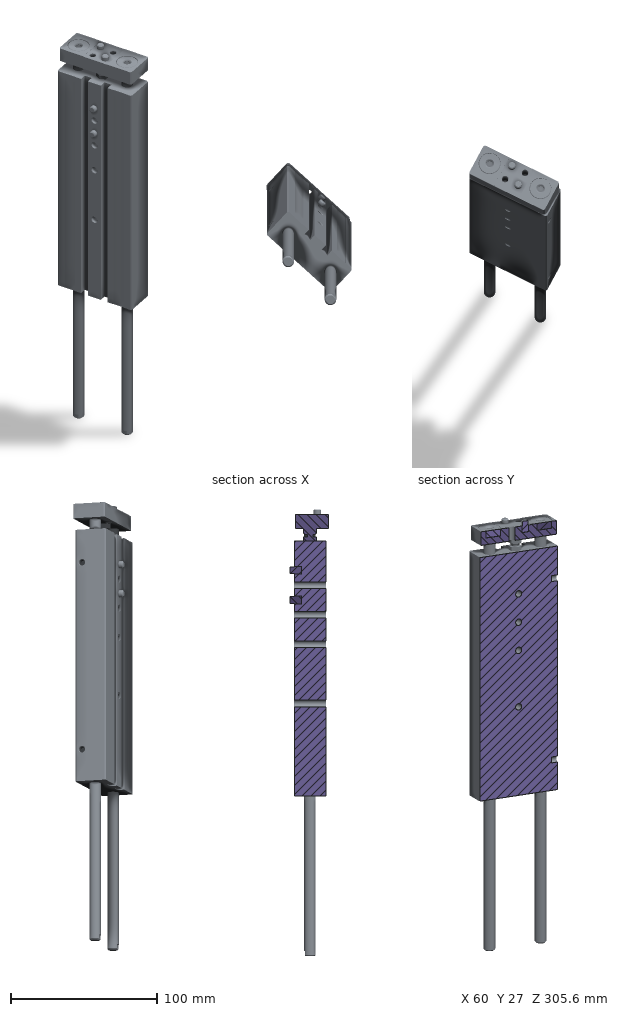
import cadquery as cq
import math

HOUSING_WIDTH = 60.0
HOUSING_DEPTH = 22.0
HOUSING_HEIGHT = 174.8
CORNER_CHAMFER = 1.0
FRONT_Y = -HOUSING_DEPTH / 2

SENSOR_GROOVE_X = 8.0
SENSOR_GROOVE_WIDTH = 5.5
SENSOR_GROOVE_DEPTH = 5.0

RELIEF_WIDTH = 8.3
RELIEF_DEPTH = 0.15

PORT_DEPTH = 4.5
PORT_Y = 6.0
UPPER_PORT_DISTANCE = 23.0
LOWER_PORT_HEIGHT = 22.0

LOWEST_HOLE_PITCHES = 11
LOWEST_HOLE_DISTANCE = 111.2
HOLE_PITCH = LOWEST_HOLE_DISTANCE / LOWEST_HOLE_PITCHES
OPEN_HOLE_PITCHES = [3, 5, 7, LOWEST_HOLE_PITCHES]
PINNED_HOLE_PITCHES = [2, 4]

HOLE_DIAMETER = 4.3
HOLE_MOUTH_DIAMETER = 5.0
MOUTH_DEPTH = (HOLE_MOUTH_DIAMETER - HOLE_DIAMETER) / 2

PIN_DIAMETER = 5.0
PIN_PROTRUSION = 3.0
PIN_SEAT_DEPTH = 5.0
PIN_TIP_CHAMFER = 0.5
PIN_LENGTH = PIN_PROTRUSION + PIN_SEAT_DEPTH

ROD_DIAMETER = 8.0
ROD_X = 19.5
ROD_BELOW_HOUSING = 109.5
ROD_TIP_CHAMFER = 1.0
ROD_FLAT_OFFSET = 3.5
ROD_FLAT_HEIGHT = 3.7
ROD_HEAD_DIAMETER = 15.0
ROD_HEAD_HEIGHT = 5.0
ROD_HEAD_CHAMFER = 0.45
SOCKET_MOUTH_DIAMETER = 6.0
SOCKET_DIAMETER = 4.3
SOCKET_DEPTH = 1.2

PLATE_WIDTH = 58.0
PLATE_DEPTH = 23.0
PLATE_HEIGHT = 10.0
PLATE_GAP = 8.3
PLATE_SETBACK = 1.0
PLATE_CENTRE_Y = FRONT_Y + PLATE_SETBACK + PLATE_DEPTH / 2
PLATE_BOTTOM_Z = HOUSING_HEIGHT + PLATE_GAP
PLATE_TOP_Z = PLATE_BOTTOM_Z + PLATE_HEIGHT
PLATE_RECESS_WIDTH = 19.3
PLATE_RECESS_DEPTH = 0.15
PLATE_FLOOR_Z = PLATE_TOP_Z - PLATE_RECESS_DEPTH
PLATE_HOLE_OFFSET = HOLE_PITCH / 2
ROD_HEAD_Z = PLATE_TOP_Z - ROD_HEAD_HEIGHT
PLATE_PIN_Z = PLATE_TOP_Z - PIN_SEAT_DEPTH

HEX_ACROSS_FLATS = 8.0
HEX_ACROSS_CORNERS = HEX_ACROSS_FLATS / math.cos(math.pi / 6)
STOP_NECK_DIAMETER = 4.3
STOP_NUT_HEIGHT = 4.0
STOP_HEAD_HEIGHT = 2.8
HEX_EDGE_CHAMFER = 1.0


def upright_cylinder(diameter, height, x, y, bottom_z):
    return cq.Workplane("XY", origin=(x, y, bottom_z)).circle(diameter / 2).extrude(height)


def cylinder_from_front(diameter, start_y, length, z):
    """Cylinder on the X = 0 plane that runs in +Y from start_y."""
    return cq.Workplane("XZ", origin=(0, start_y, z)).circle(diameter / 2).extrude(-length)


def countersunk_hole(start, direction, depth):
    """Cutter for a hole with a conical mouth that enters at `start` and runs along `direction`."""
    start = cq.Vector(*start)
    direction = cq.Vector(*direction)
    bore = cq.Solid.makeCylinder(HOLE_DIAMETER / 2, depth, start, direction)
    mouth = cq.Solid.makeCone(HOLE_MOUTH_DIAMETER / 2, HOLE_DIAMETER / 2, MOUTH_DEPTH, start, direction)
    return bore.fuse(mouth)


def front_slot(width, depth, x):
    """Full-height cutter that reaches `depth` into the front of the housing."""
    slot = cq.Workplane("XY", origin=(x, FRONT_Y, 0))
    return slot.box(width, 2 * depth, HOUSING_HEIGHT, centered=(True, True, False))


def hole_z(pitches):
    return HOUSING_HEIGHT - pitches * HOLE_PITCH


def make_housing():
    housing = (
        cq.Workplane("XY")
        .box(HOUSING_WIDTH, HOUSING_DEPTH, HOUSING_HEIGHT, centered=(True, True, False))
        .edges("|Z")
        .chamfer(CORNER_CHAMFER)
    )
    for side in (-1, 1):
        housing = housing.cut(front_slot(SENSOR_GROOVE_WIDTH, SENSOR_GROOVE_DEPTH, side * SENSOR_GROOVE_X))
        housing = housing.cut(front_slot(RELIEF_WIDTH, RELIEF_DEPTH, side * ROD_X))
        housing = housing.cut(upright_cylinder(ROD_DIAMETER, HOUSING_HEIGHT, side * ROD_X, 0, 0))
    for pitches in OPEN_HOLE_PITCHES:
        mouth_centre = (0, FRONT_Y, hole_z(pitches))
        housing = housing.cut(cq.Workplane(countersunk_hole(mouth_centre, (0, 1, 0), HOUSING_DEPTH)))
    for pitches in PINNED_HOLE_PITCHES:
        housing = housing.cut(cylinder_from_front(PIN_DIAMETER, FRONT_Y, PIN_SEAT_DEPTH, hole_z(pitches)))
    for port_z in (LOWER_PORT_HEIGHT, HOUSING_HEIGHT - UPPER_PORT_DISTANCE):
        port_centre = (-HOUSING_WIDTH / 2, PORT_Y, port_z)
        housing = housing.cut(cq.Workplane(countersunk_hole(port_centre, (1, 0, 0), PORT_DEPTH)))
    return housing


def hexagon(height, bottom_z):
    """Upright hexagonal prism with flats facing -X and +X."""
    return (
        cq.Workplane("XY", origin=(0, 0, bottom_z))
        .transformed(rotate=(0, 0, 30))
        .polygon(6, HEX_ACROSS_CORNERS)
        .extrude(height)
    )


def make_stop_bolt():
    """Stop bolt and its nut, one piece with the end plate; its head rests on the housing."""
    neck = upright_cylinder(STOP_NECK_DIAMETER, PLATE_GAP, 0, 0, HOUSING_HEIGHT)
    nut = hexagon(STOP_NUT_HEIGHT, PLATE_BOTTOM_Z - STOP_NUT_HEIGHT).faces("<Z").chamfer(HEX_EDGE_CHAMFER)
    head = hexagon(STOP_HEAD_HEIGHT, HOUSING_HEIGHT)
    return neck.union(nut).union(head)


def make_end_plate():
    plate = (
        cq.Workplane("XY", origin=(0, PLATE_CENTRE_Y, PLATE_BOTTOM_Z))
        .box(PLATE_WIDTH, PLATE_DEPTH, PLATE_HEIGHT, centered=(True, True, False))
        .edges("|Z")
        .chamfer(CORNER_CHAMFER)
    )
    recess = cq.Workplane("XY", origin=(0, PLATE_CENTRE_Y, PLATE_TOP_Z)).box(
        PLATE_RECESS_WIDTH, PLATE_DEPTH, 2 * PLATE_RECESS_DEPTH
    )
    plate = plate.cut(recess)
    for side in (-1, 1):
        plate = plate.cut(upright_cylinder(ROD_DIAMETER, PLATE_HEIGHT, side * ROD_X, 0, PLATE_BOTTOM_Z))
        plate = plate.cut(upright_cylinder(ROD_HEAD_DIAMETER, ROD_HEAD_HEIGHT, side * ROD_X, 0, ROD_HEAD_Z))
        offset = side * PLATE_HOLE_OFFSET
        mouth_centre = (offset, offset, PLATE_FLOOR_Z)
        plate = plate.cut(cq.Workplane(countersunk_hole(mouth_centre, (0, 0, -1), PLATE_HEIGHT)))
        plate = plate.cut(upright_cylinder(PIN_DIAMETER, PIN_LENGTH, offset, -offset, PLATE_PIN_Z))
    return plate.union(make_stop_bolt())


def make_rod(x):
    rod_length = ROD_BELOW_HOUSING + PLATE_TOP_Z
    rod = upright_cylinder(ROD_DIAMETER, rod_length, x, 0, -ROD_BELOW_HOUSING)
    rod = rod.faces("<Z").chamfer(ROD_TIP_CHAMFER)
    flat_cutter_y = -ROD_FLAT_OFFSET - ROD_DIAMETER / 2
    flat_cutter = cq.Workplane("XY", origin=(x, flat_cutter_y, -ROD_BELOW_HOUSING)).box(
        ROD_DIAMETER, ROD_DIAMETER, ROD_FLAT_HEIGHT, centered=(True, True, False)
    )
    head = upright_cylinder(ROD_HEAD_DIAMETER, ROD_HEAD_HEIGHT, x, 0, ROD_HEAD_Z)
    head = head.faces(">Z").chamfer(ROD_HEAD_CHAMFER)
    socket = upright_cylinder(SOCKET_DIAMETER, SOCKET_DEPTH, x, 0, PLATE_TOP_Z - SOCKET_DEPTH)
    socket_chamfer = (SOCKET_MOUTH_DIAMETER - SOCKET_DIAMETER) / 2
    socket_mouth = cq.Solid.makeCone(
        SOCKET_MOUTH_DIAMETER / 2,
        SOCKET_DIAMETER / 2,
        socket_chamfer,
        cq.Vector(x, 0, PLATE_TOP_Z),
        cq.Vector(0, 0, -1),
    )
    return rod.cut(flat_cutter).union(head).cut(socket).cut(cq.Workplane(socket_mouth))


def make_housing_pin(pitches):
    pin = cylinder_from_front(PIN_DIAMETER, FRONT_Y - PIN_PROTRUSION, PIN_LENGTH, hole_z(pitches))
    return pin.faces("<Y").chamfer(PIN_TIP_CHAMFER)


def make_plate_pin(side):
    offset = side * PLATE_HOLE_OFFSET
    pin = upright_cylinder(PIN_DIAMETER, PIN_LENGTH, offset, -offset, PLATE_PIN_Z)
    return pin.faces(">Z").chamfer(PIN_TIP_CHAMFER)


housing = make_housing()
end_plate = make_end_plate()
rods = [make_rod(side * ROD_X).val() for side in (-1, 1)]
housing_pins = [make_housing_pin(pitches).val() for pitches in PINNED_HOLE_PITCHES]
plate_pins = [make_plate_pin(side).val() for side in (-1, 1)]

result = cq.Compound.makeCompound([housing.val(), end_plate.val(), *rods, *housing_pins, *plate_pins])